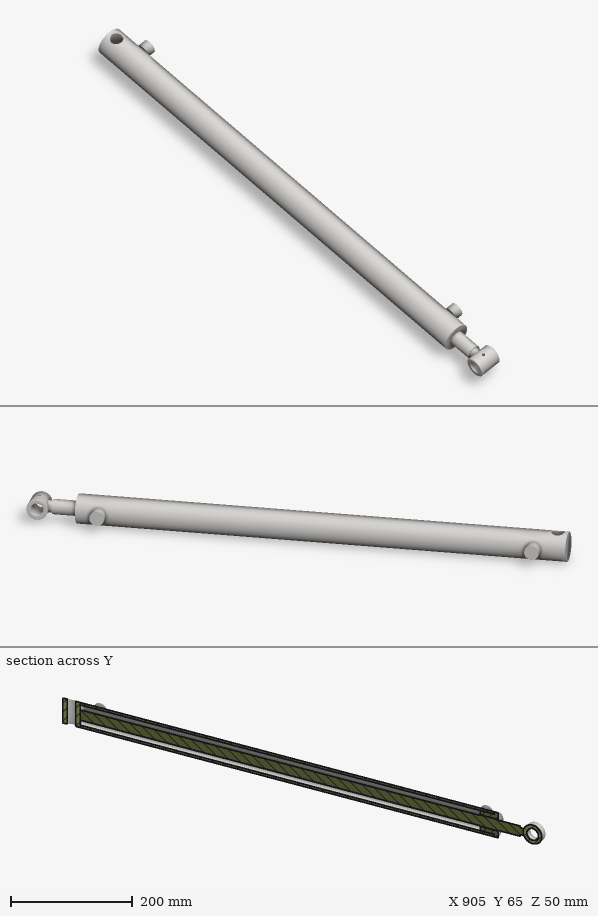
import cadquery as cq

overall_length = 905.0
overall_width = 65.0

barrel_diameter = 50.0
barrel_bore = 40.0
cap_length = 34.0
cap_pin_hole_diameter = 22.0
cap_pin_hole_x = cap_length / 2
barrel_end_x = 815.0

gland_flange_length = 7.0
gland_spigot_length = 27.0
gland_end_x = barrel_end_x + gland_flange_length

port_diameter = 24.0
port_top_y = overall_width - barrel_diameter / 2
port_seat_depth = 0.45
port_base_y = barrel_diameter / 2 - port_seat_depth
port_positions = [53.0, 783.0]

eye_diameter = 35.0
eye_width = 41.0
eye_bore = 21.0
eye_chamfer = 1.0
grease_hole_diameter = 5.0
eye_x = overall_length - eye_diameter / 2

rod_diameter = 25.0
rod_neck_diameter = 21.0
rod_shoulder_x = 864.0


def cylinder_along_x(diameter, start_x, end_x):
    """Solid cylinder on the X axis."""
    return cq.Workplane("YZ", origin=(start_x, 0, 0)).circle(diameter / 2).extrude(end_x - start_x)


def cylinder_across_y(diameter, x, width):
    """Solid cylinder parallel to Y, centred on the X axis at x."""
    return cq.Workplane("XZ", origin=(x, width / 2, 0)).circle(diameter / 2).extrude(width)


def make_cap():
    """Solid end cap with a pin hole through it along Z."""
    pin_hole = (
        cq.Workplane("XY", origin=(cap_pin_hole_x, 0, -barrel_diameter / 2))
        .circle(cap_pin_hole_diameter / 2)
        .extrude(barrel_diameter)
    )
    return cylinder_along_x(barrel_diameter, 0, cap_length).cut(pin_hole)


def make_barrel():
    """Plain tube from the cap to the gland flange."""
    outside = cylinder_along_x(barrel_diameter, cap_length, barrel_end_x)
    return outside.cut(cylinder_along_x(barrel_bore, cap_length, barrel_end_x))


def make_gland():
    """Flanged ring that closes the barrel and guides the rod."""
    spigot_start_x = barrel_end_x - gland_spigot_length
    flange = cylinder_along_x(barrel_diameter, barrel_end_x, gland_end_x)
    spigot = cylinder_along_x(barrel_bore, spigot_start_x, barrel_end_x)
    return flange.union(spigot).cut(cylinder_along_x(rod_diameter, spigot_start_x, gland_end_x))


def make_port(x):
    """Round boss with a flat base, hollowed slightly to seat on the curved barrel."""
    boss = (
        cq.Workplane("XZ", origin=(x, port_top_y, 0))
        .circle(port_diameter / 2)
        .extrude(port_top_y - port_base_y)
    )
    return boss.cut(cylinder_along_x(barrel_diameter, cap_length, barrel_end_x))


def make_rod():
    """Rod from the cap face, stepped down to a neck that fits the round side of the eye."""
    shank = cylinder_along_x(rod_diameter, cap_length, rod_shoulder_x)
    neck = cylinder_along_x(rod_neck_diameter, rod_shoulder_x, eye_x)
    return shank.union(neck).cut(cylinder_across_y(eye_diameter, eye_x, eye_width))


def make_eye():
    """Cross tube with a pin bore, chamfered at both ends, and a grease hole in its top."""
    eye = cylinder_across_y(eye_diameter, eye_x, eye_width)
    eye = eye.cut(cylinder_across_y(eye_bore, eye_x, eye_width))
    eye = eye.faces("<Y or >Y").edges().chamfer(eye_chamfer)
    grease_hole = (
        cq.Workplane("XY", origin=(eye_x, 0, 0))
        .circle(grease_hole_diameter / 2)
        .extrude(eye_diameter)
    )
    return eye.cut(grease_hole)


cap = make_cap()
barrel = make_barrel()
gland = make_gland()
ports = [make_port(x) for x in port_positions]
rod = make_rod()
eye = make_eye()

result = cq.Compound.makeCompound(
    [cap.val(), barrel.val(), gland.val(), *[port.val() for port in ports], rod.val(), eye.val()]
)